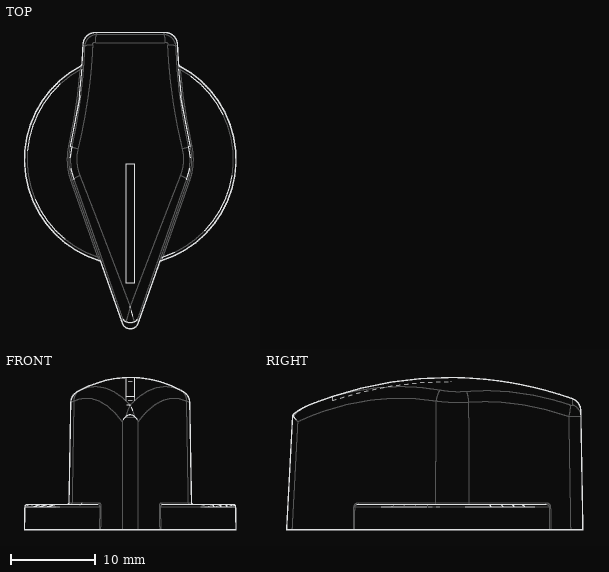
import math

import cadquery as cq

DRAFT_ANGLE = 1.0
SHOULDER_RADIUS = 7.3
APEX_Y = -22.0
BACK_Y = 15.0
BACK_HALF_WIDTH = 5.55
REAR_FLANK_ANGLE = 12.4
NOSE_RADIUS = 1.0
NOSE_RIDGE_RADIUS = 0.7
BACK_CORNER_RADIUS = 1.5

KNOB_HEIGHT = 18.0
CROWN_PEAK_Y = -0.8
CROWN_CROSS_RADIUS = 12.5
CROWN_LENGTH_RADIUS = 43.5
CROWN_EDGE_RADIUS = 1.5
CROWN_HALF_SPAN = 10.0

SKIRT_RADIUS = 12.5
SKIRT_HEIGHT = 3.0
SKIRT_EDGE_RADIUS = 0.3
SKIRT_ROOT_RADIUS = 0.2

INDICATOR_WIDTH = 1.0
INDICATOR_START_Y = -0.55
INDICATOR_LENGTH = 14.0
INDICATOR_DEPTH = 0.5

CLEARANCE = 1.0


def shoulder_point(angle):
    """Point on the right shoulder arc, at an angle in degrees from +X."""
    turn = math.radians(angle)
    return SHOULDER_RADIUS * math.cos(turn), SHOULDER_RADIUS * math.sin(turn)


def mirrored(point):
    return -point[0], point[1]


def upright_zone(x, y):
    """Selects the upright wall edge that starts at the base corner (x, y)."""
    return cq.selectors.BoxSelector(
        (x - CLEARANCE, y - CLEARANCE, CLEARANCE), (x + CLEARANCE, y + CLEARANCE, KNOB_HEIGHT)
    )


def make_tapered_grip(nose_rounded):
    front_angle = math.degrees(math.asin(SHOULDER_RADIUS / -APEX_Y))
    front_end = shoulder_point(-front_angle)
    middle = shoulder_point(0)
    rear_end = shoulder_point(REAR_FLANK_ANGLE)
    back_corner = (BACK_HALF_WIDTH, BACK_Y)

    chord_x = back_corner[0] - rear_end[0]
    chord_y = back_corner[1] - rear_end[1]
    chord = math.hypot(chord_x, chord_y)
    half_turn = math.radians(REAR_FLANK_ANGLE) - math.atan2(-chord_x, chord_y)
    sagitta = chord / 2 * math.tan(half_turn / 2)
    flank_middle = (
        (rear_end[0] + back_corner[0]) / 2 - sagitta * chord_y / chord,
        (rear_end[1] + back_corner[1]) / 2 + sagitta * chord_x / chord,
    )

    outline = (
        cq.Workplane("XY")
        .moveTo(0, APEX_Y)
        .lineTo(*front_end)
        .threePointArc(middle, rear_end)
        .threePointArc(flank_middle, back_corner)
        .lineTo(*mirrored(back_corner))
        .threePointArc(mirrored(flank_middle), mirrored(rear_end))
        .threePointArc(mirrored(middle), mirrored(front_end))
        .close()
    )
    grip = outline.extrude(KNOB_HEIGHT + CLEARANCE, taper=DRAFT_ANGLE)

    for side in (-1, 1):
        grip = grip.edges(upright_zone(side * BACK_HALF_WIDTH, BACK_Y)).fillet(BACK_CORNER_RADIUS)
    if nose_rounded:
        grip = grip.edges(upright_zone(0, APEX_Y)).fillet(NOSE_RADIUS)
    return grip


def make_crown_envelope():
    """Everything under the dome: the cross arc swung about a low axis parallel to X."""
    half = CROWN_HALF_SPAN
    axis_z = KNOB_HEIGHT - CROWN_LENGTH_RADIUS
    edge_z = KNOB_HEIGHT - CROWN_CROSS_RADIUS + math.sqrt(CROWN_CROSS_RADIUS**2 - half**2)
    return (
        cq.Workplane("XZ", origin=(0, CROWN_PEAK_Y, 0))
        .moveTo(-half, axis_z)
        .lineTo(-half, edge_z)
        .threePointArc((0, KNOB_HEIGHT), (half, edge_z))
        .lineTo(half, axis_z)
        .close()
        .revolve(360, (0, axis_z, 0), (1, axis_z, 0))
    )


def make_crowned_grip(nose_rounded, edge_radius):
    grip = make_tapered_grip(nose_rounded).intersect(make_crown_envelope())
    return grip.faces(">Z").edges().fillet(edge_radius)


def make_grip():
    """The full crown rounding is wider than the nose, so it is made on a sharp nose and then trimmed."""
    sharp_nosed = make_crowned_grip(False, CROWN_EDGE_RADIUS)
    round_nosed = make_crowned_grip(True, NOSE_RADIUS)
    grip = sharp_nosed.intersect(round_nosed)

    ridge_zone = cq.selectors.BoxSelector(
        (-NOSE_RADIUS / 10, APEX_Y, KNOB_HEIGHT / 2), (NOSE_RADIUS / 10, APEX_Y / 2, KNOB_HEIGHT)
    )
    return grip.edges(ridge_zone).edges("not #YZ").fillet(NOSE_RIDGE_RADIUS)


def make_skirt():
    skirt = cq.Workplane("XY").circle(SKIRT_RADIUS).extrude(SKIRT_HEIGHT, taper=DRAFT_ANGLE)
    return skirt.faces(">Z").edges().fillet(SKIRT_EDGE_RADIUS)


def make_knob():
    """One solid: the grip standing on its skirt, blended together at the root."""
    knob = make_grip().union(make_skirt())

    root_reach = SHOULDER_RADIUS + CLEARANCE
    root_zone = cq.selectors.BoxSelector(
        (-root_reach, -SKIRT_RADIUS, SKIRT_HEIGHT / 4), (root_reach, SKIRT_RADIUS, SKIRT_HEIGHT + CLEARANCE)
    )
    return knob.edges(root_zone).fillet(SKIRT_ROOT_RADIUS)


def make_indicator():
    """A thin strip whose top and bottom both follow the crown."""
    strip = (
        cq.Workplane("XY")
        .center(0, INDICATOR_START_Y - INDICATOR_LENGTH / 2)
        .rect(INDICATOR_WIDTH, INDICATOR_LENGTH)
        .extrude(KNOB_HEIGHT)
    )
    crown = make_crown_envelope()
    return strip.intersect(crown).cut(crown.translate((0, 0, -INDICATOR_DEPTH)))


knob = make_knob()
indicator = make_indicator()
knob = knob.cut(indicator)
result = cq.Compound.makeCompound([knob.val(), indicator.val()])